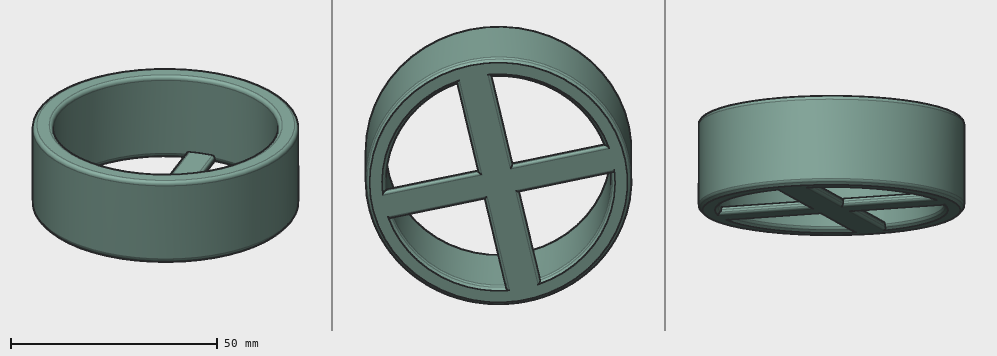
import cadquery as cq

outer_diameter = 64.5
bore_diameter = 54.5
height = 22.0
rim_fillet = 1.0
foot_chamfer = 1.0
foot_blend = 1.0

bar_along_x_width = 8.5
bar_along_y_width = 7.2
bar_thickness = 2.0
bar_fillet = 0.7

bar_length = (outer_diameter + bore_diameter) / 2


def make_ring():
    ring = cq.Workplane("XY").circle(outer_diameter / 2).circle(bore_diameter / 2).extrude(height)
    ring = ring.faces(">Z").edges().fillet(rim_fillet)
    ring = ring.faces("<Z").edges().chamfer(foot_chamfer)
    return ring.edges("%CIRCLE").edges(">>Z[1]").fillet(foot_blend)


def make_bar(size_x, size_y):
    return cq.Workplane("XY").box(size_x, size_y, bar_thickness, centered=(True, True, False))


def make_cross():
    bar_along_x = make_bar(bar_length, bar_along_x_width)
    bar_along_y = make_bar(bar_along_y_width, bar_length)
    cross = bar_along_x.union(bar_along_y)
    long_edges = "(|X and (not (<Y or >Y))) or (|Y and (not (<X or >X)))"
    return cross.edges(long_edges).fillet(bar_fillet)


result = make_ring().union(make_cross())